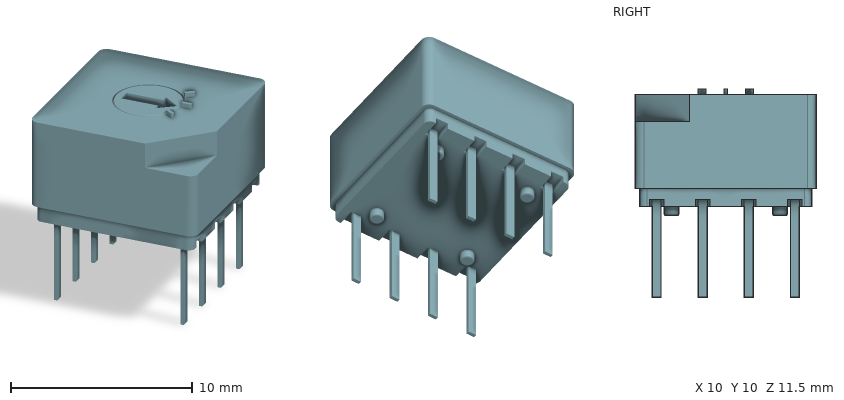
import cadquery as cq


cover_side = 10.0
cover_height = 5.2
cover_corner_radius = 0.51
base_side = 9.5
base_height = 1.0
base_corner_radius = 0.4
cover_top = base_height + cover_height

step_leg = 3.0
step_depth = 1.5

post_diameter = 0.8
post_length = 0.5
post_fillet = 0.1
post_offset = 2.99

pins_per_row = 4
pin_pitch = 2.54
row_offset = 1.5 * pin_pitch
pin_width = 0.51
pin_thickness = 0.21
pin_length = 5.0
notch_width = 0.8
notch_height = 0.39

dial_diameter = 4.0
dial_depth = 1.5
dial_chamfer = 0.1
arrow_tail_x = -1.5
arrow_shoulder_x = 0.72
arrow_tip_x = 1.72
arrow_shaft_half_width = 0.37
arrow_head_half_width = 0.75
arrow_depth = 1.0

mark_spacing_angle = 35.0
mark_width = 0.2
mark_gap = 0.02
mark_length = 0.59
mark_height = 0.3


def rounded_block(side, height, corner_radius, bottom_z):
    block = cq.Workplane("XY").workplane(offset=bottom_z).rect(side, side).extrude(height)
    return block.edges("|Z").fillet(corner_radius)


def corner_step():
    corner_x = cover_side / 2
    corner_y = -cover_side / 2
    return (
        cq.Workplane("XY", origin=(corner_x, corner_y, cover_top))
        .polyline([(0, 0), (0, step_leg), (-step_leg, 0)])
        .close()
        .extrude(-step_depth)
    )


def dial_blank():
    return cq.Workplane("XY").workplane(offset=cover_top).circle(dial_diameter / 2).extrude(-dial_depth)


def posts():
    post_centers = [(x, y) for x in (-post_offset, post_offset) for y in (-post_offset, post_offset)]
    return (
        cq.Workplane("XY")
        .pushPoints(post_centers)
        .circle(post_diameter / 2)
        .extrude(-post_length)
        .faces("<Z")
        .edges()
        .fillet(post_fillet)
    )


def notch(side, y):
    """Recess from the base edge on one X side (-1 or +1) in to the back face of a pin."""
    inner_x = row_offset - pin_thickness / 2
    depth = base_side / 2 - inner_x
    center_x = side * (inner_x + depth / 2)
    return cq.Workplane("XY").center(center_x, y).rect(depth, notch_width).extrude(notch_height)


def pin(side, y):
    """Flat pin from the notch ceiling down to its tip."""
    return (
        cq.Workplane("XY")
        .workplane(offset=-pin_length)
        .center(side * row_offset, y)
        .rect(pin_thickness, pin_width)
        .extrude(pin_length + notch_height)
    )


def position_mark(angle):
    """Radial bar just outside the dial, with a round outer end."""
    half_width = mark_width / 2
    start_x = dial_diameter / 2 + mark_gap
    end_x = start_x + mark_length
    arc_start_x = end_x - half_width
    return (
        cq.Workplane("XY", origin=(0, 0, cover_top))
        .moveTo(start_x, -half_width)
        .lineTo(arc_start_x, -half_width)
        .threePointArc((end_x, 0), (arc_start_x, half_width))
        .lineTo(start_x, half_width)
        .close()
        .extrude(mark_height)
        .rotate((0, 0, 0), (0, 0, 1), angle)
    )


def make_housing():
    base = rounded_block(base_side, base_height, base_corner_radius, 0)
    cover = rounded_block(cover_side, cover_height, cover_corner_radius, base_height)
    housing = base.union(cover).cut(corner_step()).cut(dial_blank()).union(posts())
    for side in (-1, 1):
        for index in range(pins_per_row):
            y = (index - (pins_per_row - 1) / 2) * pin_pitch
            housing = housing.cut(notch(side, y)).union(pin(side, y))
    for step in (-1, 0, 1):
        housing = housing.union(position_mark(step * mark_spacing_angle))
    return housing


def make_dial():
    arrow = (
        cq.Workplane("XY")
        .workplane(offset=cover_top)
        .polyline([
            (arrow_tail_x, -arrow_shaft_half_width),
            (arrow_shoulder_x, -arrow_shaft_half_width),
            (arrow_shoulder_x, -arrow_head_half_width),
            (arrow_tip_x, 0),
            (arrow_shoulder_x, arrow_head_half_width),
            (arrow_shoulder_x, arrow_shaft_half_width),
            (arrow_tail_x, arrow_shaft_half_width),
        ])
        .close()
        .extrude(-arrow_depth)
    )
    return dial_blank().faces(">Z").chamfer(dial_chamfer).cut(arrow)


housing = make_housing()
dial = make_dial()
result = cq.Compound.makeCompound([housing.val(), dial.val()])